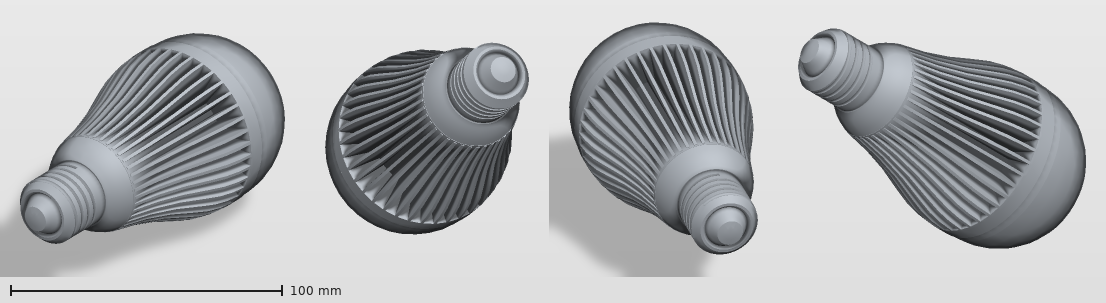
import cadquery as cq
import math


length = 131.6
tip_shoulder_y = 0.8
shell_end_y = 5.0
shell_seat_y = 6.0
shell_chamfer_y = 8.3
collar_bottom_y = 26.3
collar_top_y = 35.5
fin_bottom_y = 36.3
fin_waist_y = 71.0
gap_top_y = 89.3
band_bottom_y = 90.7
band_top_y = 95.8

diffuser_r = 32.2
band_r = 65.1 / 2
fin_waist_r = 28.7
fin_bottom_r = 19.2
core_r = 19.0
collar_top_r = 18.8
collar_bottom_r = 13.3
shell_r = 12.8
shell_end_r = 10.1
shell_mouth_r = 9.1
tip_base_r = 8.0
tip_shoulder_r = 4.9

fin_count = 40
fin_thickness = 1.2
fin_root_depth = 0.5
fin_root_r = core_r - fin_root_depth

lip_height = 0.8
shell_top_y = collar_bottom_y - lip_height

thread_pitch = 3.7
thread_groove_r = 0.8
thread_start_y = 7.6
thread_end_y = 22.9
thread_end_angle = 80.0


def outline(radius, y):
    """Start a half section in the plane of the bulb axis, at a radius and a height."""
    return cq.Workplane("ZY").moveTo(radius, y)


def turn(section):
    """Close a half section and turn it about the bulb axis."""
    return section.close().revolve(360, (0, 0, 0), (0, 1, 0))


def make_diffuser():
    """Dome with a short cylindrical skirt resting on the heat sink band."""
    dome_base_y = length - diffuser_r
    mid = diffuser_r * math.sqrt(0.5)
    return turn(
        outline(0, band_top_y)
        .lineTo(diffuser_r, band_top_y)
        .lineTo(diffuser_r, dome_base_y)
        .threePointArc((mid, dome_base_y + mid), (0, length))
    )


def make_fin_envelope():
    """Ring of solid between the core and the S-shaped outline of two arcs that join smoothly at the waist."""
    return turn(
        outline(fin_root_r, gap_top_y)
        .lineTo(fin_root_r, band_top_y)
        .lineTo(band_r, band_top_y)
        .lineTo(band_r, band_bottom_y)
        .tangentArcPoint((fin_waist_r, fin_waist_y), relative=False)
        .tangentArcPoint((fin_bottom_r, fin_bottom_y), relative=False)
        .lineTo(fin_root_r, fin_bottom_y)
    )


def make_heat_sink():
    """Core and band with thin radial fins set into the core."""
    envelope = make_fin_envelope()
    core = turn(
        outline(0, collar_top_y)
        .lineTo(core_r, collar_top_y)
        .lineTo(core_r, band_top_y)
        .lineTo(0, band_top_y)
    )
    gap_height = gap_top_y - fin_bottom_y
    gap_middle_y = fin_bottom_y + gap_height / 2
    gap_zone = cq.Workplane("XY").box(3 * band_r, gap_height, 3 * band_r)
    gap_zone = gap_zone.translate((0, gap_middle_y, 0))
    band = envelope.cut(gap_zone).val()

    slab = cq.Workplane("XY").box(band_r, gap_height, fin_thickness)
    fin = envelope.intersect(slab.translate((band_r / 2, gap_middle_y, 0))).val()
    fins = [fin.rotate((0, 0, 0), (0, 1, 0), i * 360 / fin_count) for i in range(fin_count)]
    return cq.Workplane(core.val().fuse(band, *fins))


def make_collar():
    """Spherical neck between heat sink and screw shell, ending in a narrow lip."""
    rise = collar_top_y - collar_bottom_y
    centre_y = (collar_bottom_y + collar_top_y) / 2 + (collar_top_r**2 - collar_bottom_r**2) / (2 * rise)
    sphere_r = math.hypot(collar_top_r, centre_y - collar_top_y)
    mid_y = (collar_bottom_y + collar_top_y) / 2
    mid_r = math.sqrt(sphere_r**2 - (centre_y - mid_y) ** 2)
    return turn(
        outline(0, collar_top_y)
        .lineTo(collar_top_r, collar_top_y)
        .threePointArc((mid_r, mid_y), (collar_bottom_r, collar_bottom_y))
        .lineTo(shell_r, collar_bottom_y)
        .lineTo(shell_r, shell_top_y)
        .lineTo(0, shell_top_y)
    )


def make_thread_groove():
    """Helical rod whose removal leaves the thread groove in the screw shell."""
    rise = thread_end_y - thread_start_y
    path = cq.Wire.makeHelix(thread_pitch, rise, shell_r)
    rod = (
        cq.Workplane("XZ", origin=(shell_r, 0, 0))
        .circle(thread_groove_r)
        .sweep(cq.Workplane(path), isFrenet=True)
    )
    upright = rod.rotate((0, 0, 0), (1, 0, 0), -90).translate((0, thread_start_y, 0))
    turned = 360 * rise / thread_pitch
    return upright.rotate((0, 0, 0), (0, 1, 0), -thread_end_angle - turned)


def make_screw_shell():
    """Threaded shell with a chamfered end and a conical mouth around the contact."""
    blank = turn(
        outline(0, shell_top_y)
        .lineTo(shell_r, shell_top_y)
        .lineTo(shell_r, shell_chamfer_y)
        .lineTo(shell_end_r, shell_end_y)
        .lineTo(shell_mouth_r, shell_end_y)
        .lineTo(tip_base_r, shell_seat_y)
        .lineTo(0, shell_seat_y)
    )
    return blank.cut(make_thread_groove())


def make_contact():
    """Conical contact with a slightly domed end."""
    cap_r = (tip_shoulder_r**2 + tip_shoulder_y**2) / (2 * tip_shoulder_y)
    mid_r = tip_shoulder_r / 2
    mid_y = cap_r - math.sqrt(cap_r**2 - mid_r**2)
    return turn(
        outline(0, shell_seat_y)
        .lineTo(tip_base_r, shell_seat_y)
        .lineTo(tip_shoulder_r, tip_shoulder_y)
        .threePointArc((mid_r, mid_y), (0, 0))
    )


diffuser = make_diffuser()
heat_sink = make_heat_sink()
collar = make_collar()
screw_shell = make_screw_shell()
contact = make_contact()

result = cq.Compound.makeCompound(
    [diffuser.val(), heat_sink.val(), collar.val(), screw_shell.val(), contact.val()]
)